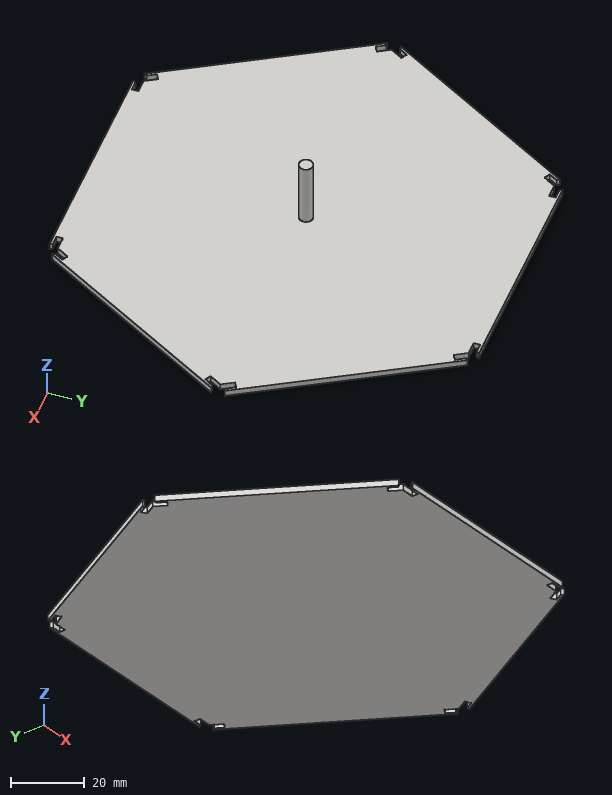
import cadquery as cq
import math

SIDES = 6
TIP_SPAN = 140.9
FLAT_SPAN = 124.0
PLATE_THICKNESS = 2.0

LIP_THICKNESS = 0.8
SLOT_DEPTH = 2.7
SLOT_WALL_OFFSET = 30.1

PIN_DIAMETER = 4.0
TOTAL_HEIGHT = 22.0

SECTOR = 360 / SIDES
HALF_SECTOR = math.radians(SECTOR / 2)
APOTHEM = FLAT_SPAN / 2
FLOOR_APOTHEM = APOTHEM - SLOT_DEPTH
LIP_INNER = APOTHEM - LIP_THICKNESS

LIP_REACH = (TIP_SPAN / 2 - APOTHEM * math.cos(HALF_SECTOR)) / math.sin(HALF_SECTOR)
LIP_INNER_REACH = LIP_REACH - LIP_THICKNESS * math.tan(HALF_SECTOR)
FLOOR_CORNER = FLOOR_APOTHEM * math.tan(HALF_SECTOR)

RIGHT_HALF = [
    (LIP_REACH, APOTHEM),
    (LIP_INNER_REACH, LIP_INNER),
    (SLOT_WALL_OFFSET, LIP_INNER),
    (SLOT_WALL_OFFSET, FLOOR_APOTHEM),
]
LEFT_HALF = [(-x, y) for x, y in reversed(RIGHT_HALF)]
CORNER = [(FLOOR_CORNER, FLOOR_APOTHEM)]
SIDE_POINTS = LEFT_HALF + RIGHT_HALF + CORNER


def turn_clockwise(point, degrees):
    """Rotate a point clockwise about the plate centre."""
    x, y = point
    angle = math.radians(degrees)
    return (
        x * math.cos(angle) + y * math.sin(angle),
        y * math.cos(angle) - x * math.sin(angle),
    )


def make_plate():
    outline = []
    for side in range(SIDES):
        outline += [turn_clockwise(point, side * SECTOR) for point in SIDE_POINTS]
    return cq.Workplane("XY").polyline(outline).close().extrude(PLATE_THICKNESS)


def make_pin():
    return cq.Workplane("XY").circle(PIN_DIAMETER / 2).extrude(TOTAL_HEIGHT)


result = make_plate().union(make_pin())